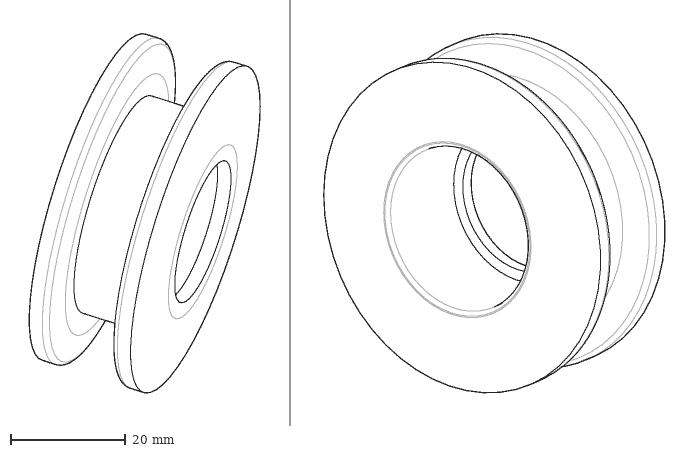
import cadquery as cq

outer_radius = 30.0
rim_half_width = 9.6
rim_inner_edge = 6.25
rim_fillet = 1.0

groove_radius = 20.0
groove_half_width = 5.2
flare_start_radius = 24.0

pocket_radius = 15.0
half_width = 22.0 / 2
mouth_fillet = 0.7
end_ring_width = 0.25
end_ring_radius = pocket_radius + mouth_fillet + end_ring_width

lip_radius = 13.0
lip_thickness = 2.5


def roller_body():
    """Revolve the solid two-flanged outline."""
    outline = [
        (-half_width, 0),
        (-half_width, end_ring_radius),
        (-rim_half_width, outer_radius),
        (-rim_inner_edge, outer_radius),
        (-groove_half_width, flare_start_radius),
        (-groove_half_width, groove_radius),
        (groove_half_width, groove_radius),
        (groove_half_width, flare_start_radius),
        (rim_inner_edge, outer_radius),
        (rim_half_width, outer_radius),
        (half_width, end_ring_radius),
        (half_width, 0),
    ]
    return cq.Workplane("XY").polyline(outline).close().revolve(360, (0, 0, 0), (1, 0, 0))


def round_inner_rims(body):
    """Round the rim edges that face the groove."""
    for side in (-1, 1):
        rim_edge = cq.selectors.NearestToPointSelector((side * rim_inner_edge, 0, 0))
        body = body.edges("%CIRCLE").edges(rim_edge).fillet(rim_fillet)
    return body


def cut_bore(body):
    """Cut a through hole and a wide pocket from -X, leaving a lip at +X."""
    start = cq.Workplane("YZ", origin=(-half_width, 0, 0))
    through_hole = start.circle(lip_radius).extrude(2 * half_width)
    pocket = start.circle(pocket_radius).extrude(2 * half_width - lip_thickness)
    return body.cut(through_hole).cut(pocket)


def round_pocket_mouth(body):
    """Round the open edge of the pocket."""
    return body.faces("<X").edges("%CIRCLE").edges(cq.selectors.RadiusNthSelector(0)).fillet(mouth_fillet)


result = round_pocket_mouth(cut_bore(round_inner_rims(roller_body())))